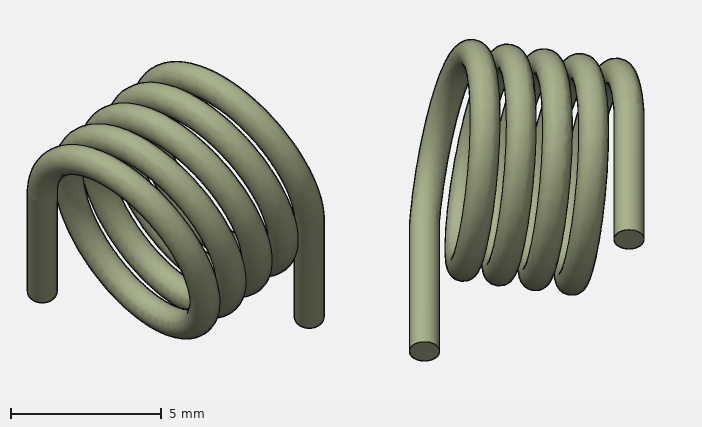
import cadquery as cq

overall_height = 9.5
coil_outer_diameter = 8.0
wire_diameter = 1.0
overall_depth = 6.5
turns = 4.5

wire_radius = wire_diameter / 2
coil_radius = (coil_outer_diameter - wire_diameter) / 2
leg_length = overall_height - coil_outer_diameter / 2
leg_spacing = overall_depth - wire_diameter
pitch = leg_spacing / turns


def make_coil():
    """Right-handed coil along Y, starting at -X and ending at +X, both at Z = 0."""
    helix = cq.Workplane(cq.Wire.makeHelix(pitch, leg_spacing, coil_radius))
    coil = (
        cq.Workplane("XZ")
        .center(coil_radius, 0)
        .circle(wire_radius)
        .sweep(helix, isFrenet=True)
    )
    coil = coil.rotate((0, 0, 0), (1, 0, 0), -90)
    coil = coil.rotate((0, 0, 0), (0, 1, 0), 180)
    return coil.translate((0, -leg_spacing / 2, 0))


def make_leg(side):
    """Straight leg hanging from the coil end on the given side (-1 or +1)."""
    return (
        cq.Workplane("XY")
        .center(side * coil_radius, side * leg_spacing / 2)
        .circle(wire_radius)
        .extrude(-leg_length)
    )


result = make_coil()
for side in (-1, 1):
    result = result.union(make_leg(side))